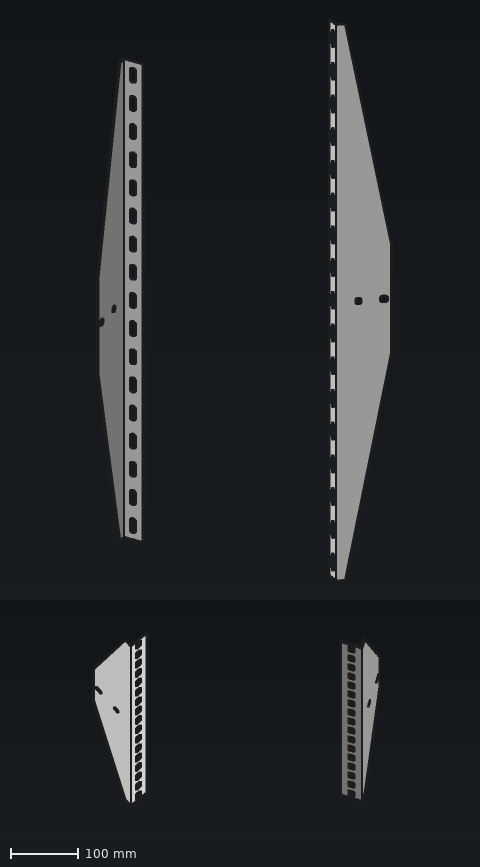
import cadquery as cq

LENGTH = 850.0
FLANGE_WIDTH = 33.0
WEB_DEPTH = 86.0
THICKNESS = 2.0

WEB_END_DEPTH = 14.5
WEB_FULL_DEPTH_HEIGHT = 170.0

SLOT_COUNT = 17
SLOT_PITCH = LENGTH / SLOT_COUNT
SLOT_LENGTH = 25.5
SLOT_WIDTH = 9.0

HOLE_DIAMETER = 9.0
HOLE_FROM_BACK = 35.0
WEB_SLOT_LENGTH = 12.0
WEB_SLOT_FROM_BACK = 75.0

left = -FLANGE_WIDTH / 2
back = WEB_DEPTH / 2


def make_flange():
    """Rear sheet, parallel to XZ."""
    sheet = cq.Workplane("XY").box(FLANGE_WIDTH, THICKNESS, LENGTH)
    return sheet.translate((0, back - THICKNESS / 2, 0))


def make_web():
    """Left sheet, parallel to YZ, with its front edge tapered above and below."""
    front = back - WEB_DEPTH
    end_front = back - WEB_END_DEPTH
    half_length = LENGTH / 2
    half_full_depth = WEB_FULL_DEPTH_HEIGHT / 2
    outline = [
        (back, -half_length),
        (end_front, -half_length),
        (front, -half_full_depth),
        (front, half_full_depth),
        (end_front, half_length),
        (back, half_length),
    ]
    return cq.Workplane("YZ", origin=(left, 0, 0)).polyline(outline).close().extrude(THICKNESS)


def flange_slot_cutters():
    """Evenly spaced upright slots on the flange centreline."""
    return (
        cq.Workplane("XZ", origin=(0, back - THICKNESS / 2, 0))
        .rarray(8.5, SLOT_PITCH, 1, SLOT_COUNT)
        .slot2D(SLOT_LENGTH, SLOT_WIDTH, 90)
        .extrude(THICKNESS, both=True)
    )


def web_hole_cutters():
    """Round hole and horizontal slot through the web."""
    mid_web = cq.Workplane("YZ", origin=(left + THICKNESS / 2, 0, 0))
    hole = (
        mid_web.center(back - HOLE_FROM_BACK, 0)
        .circle(HOLE_DIAMETER / 2)
        .extrude(THICKNESS, both=True)
    )
    slot = (
        mid_web.center(back - WEB_SLOT_FROM_BACK, 0)
        .slot2D(WEB_SLOT_LENGTH, HOLE_DIAMETER)
        .extrude(THICKNESS, both=True)
    )
    return hole.union(slot)


result = make_flange().union(make_web()).cut(flange_slot_cutters()).cut(web_hole_cutters())